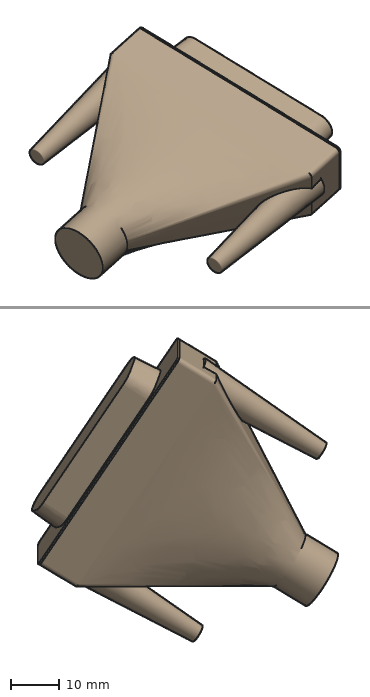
import cadquery as cq
import math

SHELL_LENGTH = 6.0
FLANGE_THICKNESS = 0.4
BLOCK_LENGTH = 9.0
FUNNEL_LENGTH = 35.0
NECK_LENGTH = 8.0

BODY_WIDTH = 53.9
BODY_HEIGHT = 13.0
CORNER_RADIUS = 1.0
NECK_DIAMETER = 12.8

SHELL_TIP_WIDTH = 39.6
SHELL_TIP_HEIGHT = 8.8
SHELL_TIP_RADIUS = 3.05
SHELL_SIDE_ANGLE = 28
SHELL_DRAFT = 0.45

SCREW_SPAN = 47.6
SCREW_HEAD_DIAMETER = 8.05
SCREW_TIP_DIAMETER = 4.0
SCREW_LENGTH = 31
SCREW_TIP_FILLET = 0.2
SCREW_HEAD_Y = -5.9

BLOCK_END_Y = -BLOCK_LENGTH
NECK_START_Y = BLOCK_END_Y - FUNNEL_LENGTH


def section_plane(y):
    """Plane across the connector at the given Y, with its normal along -Y."""
    return cq.Workplane("XZ", origin=(0, y, 0))


def rounded_plate(y, length):
    """Round-cornered bar with the hood outline, running from y towards -Y."""
    plate = section_plane(y).rect(BODY_WIDTH, BODY_HEIGHT).extrude(length)
    return plate.edges("|Y").fillet(CORNER_RADIUS)


def make_screw(x):
    """Tapered thumbscrew with a rounded tip edge."""
    screw = (
        section_plane(SCREW_HEAD_Y)
        .center(x, 0)
        .circle(SCREW_HEAD_DIAMETER / 2)
        .workplane(offset=SCREW_LENGTH)
        .circle(SCREW_TIP_DIAMETER / 2)
        .loft()
    )
    return screw.faces("<Y").edges().fillet(SCREW_TIP_FILLET)


def make_funnel():
    """Blend from the rectangular block to the round cable neck."""
    outline = cq.Sketch().rect(BODY_WIDTH, BODY_HEIGHT).vertices().fillet(CORNER_RADIUS)
    ring = cq.Sketch().circle(NECK_DIAMETER / 2).moved(cq.Location(cq.Vector(0, 0, FUNNEL_LENGTH)))
    return section_plane(BLOCK_END_Y).placeSketch(outline, ring).loft()


def make_hood(screws):
    """Block, funnel and neck in one piece, recessed where the screws sit."""
    neck = section_plane(NECK_START_Y).circle(NECK_DIAMETER / 2).extrude(NECK_LENGTH)
    hood = rounded_plate(0, BLOCK_LENGTH).union(make_funnel()).union(neck)
    for screw in screws:
        hood = hood.cut(screw)
    return hood


def d_outline(y, growth):
    """D outline with its wide side up, its corner arcs enlarged by growth."""
    radius = SHELL_TIP_RADIUS + growth
    top_x = SHELL_TIP_WIDTH / 2 - SHELL_TIP_RADIUS
    centre_z = SHELL_TIP_HEIGHT / 2 - SHELL_TIP_RADIUS
    lean = math.radians(SHELL_SIDE_ANGLE)
    bottom_x = top_x - 2 * centre_z * math.tan(lean)

    def on_corner(x, z, angle):
        return (x + radius * math.cos(angle), z + radius * math.sin(angle))

    def mirrored(point):
        return (-point[0], point[1])

    up = math.pi / 2
    top = on_corner(top_x, centre_z, up)
    top_mid = on_corner(top_x, centre_z, (up - lean) / 2)
    side_upper = on_corner(top_x, centre_z, -lean)
    side_lower = on_corner(bottom_x, -centre_z, -lean)
    bottom_mid = on_corner(bottom_x, -centre_z, -(up + lean) / 2)
    bottom = on_corner(bottom_x, -centre_z, -up)
    return (
        section_plane(y)
        .moveTo(*mirrored(top))
        .lineTo(*top)
        .threePointArc(top_mid, side_upper)
        .lineTo(*side_lower)
        .threePointArc(bottom_mid, bottom)
        .lineTo(*mirrored(bottom))
        .threePointArc(mirrored(bottom_mid), mirrored(side_lower))
        .lineTo(*mirrored(side_upper))
        .threePointArc(mirrored(top_mid), mirrored(top))
        .close()
    )


def make_connector():
    """Thin flange with the drafted D-shaped shell standing on it."""
    flange = rounded_plate(FLANGE_THICKNESS, FLANGE_THICKNESS)
    mouth = d_outline(FLANGE_THICKNESS + SHELL_LENGTH, 0).val()
    root = d_outline(FLANGE_THICKNESS, SHELL_DRAFT).val()
    shell = cq.Workplane(cq.Solid.makeLoft([mouth, root], True))
    return flange.union(shell)


screws = [make_screw(side * SCREW_SPAN / 2) for side in (-1, 1)]
hood = make_hood(screws)
connector = make_connector()

result = cq.Compound.makeCompound(
    [hood.solids().val(), connector.solids().val(), *[screw.val() for screw in screws]]
)